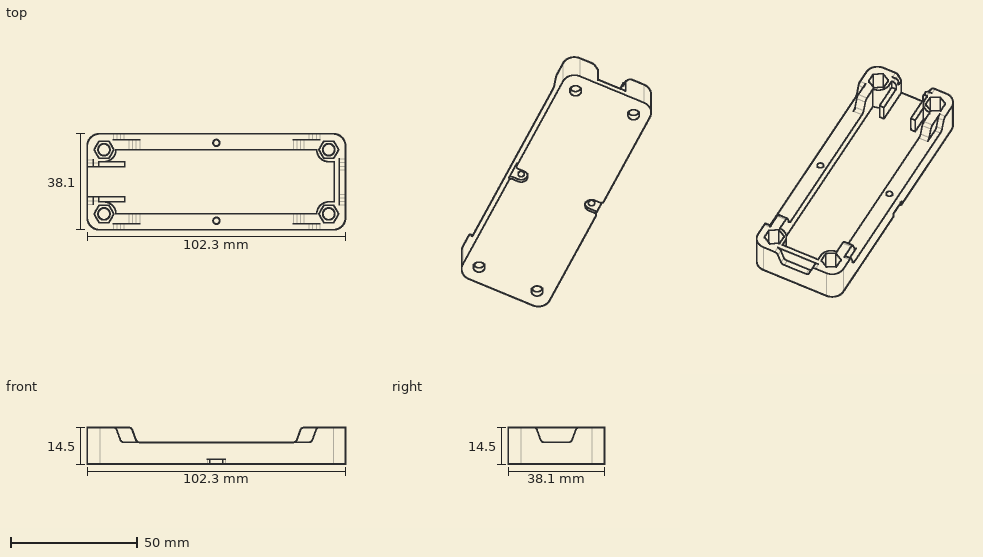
import math

import cadquery as cq

LENGTH = 102.3
WIDTH = 38.1
HEIGHT = 14.5
CORNER_RADIUS = 5.0

FLOOR_THICKNESS = 3.4
POCKET_LENGTH = 93.2
POCKET_WIDTH = 25.4
SCREW_SPACING_X = 88.9
SCREW_SPACING_Y = 25.4
SCREW_HOLE_DIAMETER = 4.6
BOSS_RADIUS = 4.75
HEX_SIDES = 6
HEX_ACROSS_FLATS = 6.8
HEX_FLOOR = FLOOR_THICKNESS

RIM_STEP_WIDTH = 2.5
NOTCH_RADIUS = 1.5

NOTCH_DEPTH = 5.85
NOTCH_ANGLE = 70.0
SIDE_NOTCH_INNER_HALF = 32.5
SIDE_NOTCH_OUTER_HALF = 38.7
END_NOTCH_HALF = 6.95

OPENING_WIDTH = 12.0
FLARE_DEPTH = 4.45
FLARE_ANGLE = 60.0
FLARE_HALF = 6.66
RAIL_LENGTH = 10.4
RAIL_TOP = 10.6

PIN_SPACING = 30.8
PIN_HOLE_DIAMETER = 2.5
RELIEF_WIDTH = 5.2
RELIEF_HEIGHT = 1.85
RELIEF_MOUTH_RADIUS = 1.0

END_X = LENGTH / 2
SIDE_Y = WIDTH / 2
POCKET_END_X = POCKET_LENGTH / 2
BOSS_FACE_Y = SCREW_SPACING_Y / 2 - BOSS_RADIUS
POCKET_DEPTH = HEIGHT - FLOOR_THICKNESS
SCREW_POINTS = [
    (sx * SCREW_SPACING_X / 2, sy * SCREW_SPACING_Y / 2) for sx in (-1, 1) for sy in (-1, 1)
]


def box_between(x_range, y_range, z_range):
    """Axis-aligned box given its limits, in either order, along each axis."""
    sizes = [abs(high - low) for low, high in (x_range, y_range, z_range)]
    corner = [min(limits) for limits in (x_range, y_range, z_range)]
    return cq.Workplane("XY").box(*sizes, centered=False).translate(tuple(corner))


def notch_cutter(plane, half_width, depth, angle, length):
    """Symmetric notch below the top face: sloped sides, rounded at the rim and at the bottom.

    The profile is swept along both directions of the plane normal, to a total of length.
    """
    slope = math.radians(angle)
    side_run = depth / (2 * math.tan(slope)) + NOTCH_RADIUS * math.tan(slope / 2)
    arc_run = NOTCH_RADIUS * math.sin(slope)
    arc_drop = NOTCH_RADIUS * (1 - math.cos(slope))
    bottom = HEIGHT - depth
    foot = half_width - side_run
    rim = half_width + side_run
    half = (
        cq.Workplane(plane)
        .moveTo(0, bottom)
        .lineTo(foot, bottom)
        .tangentArcPoint((foot + arc_run, bottom + arc_drop), relative=False)
        .lineTo(rim - arc_run, HEIGHT - arc_drop)
        .tangentArcPoint((rim, HEIGHT), relative=False)
        .lineTo(0, HEIGHT)
        .close()
        .extrude(length / 2, both=True)
    )
    mirror_plane = "YZ" if plane == "XZ" else "XZ"
    return half.union(half.mirror(mirror_plane))


def hollow_block():
    """Rounded block with the pocket, leaving a boss in each pocket corner."""
    block = cq.Workplane("XY").box(LENGTH, WIDTH, HEIGHT, centered=(True, True, False))
    block = block.edges("|Z").fillet(CORNER_RADIUS)
    pocket = (
        cq.Workplane("XY", origin=(0, 0, FLOOR_THICKNESS))
        .rect(POCKET_LENGTH, POCKET_WIDTH)
        .extrude(POCKET_DEPTH)
    )
    bosses = (
        cq.Workplane("XY", origin=(0, 0, FLOOR_THICKNESS))
        .pushPoints(SCREW_POINTS)
        .circle(BOSS_RADIUS)
        .extrude(POCKET_DEPTH)
    )
    pocket = pocket.cut(bosses)
    for x, y in SCREW_POINTS:
        web = box_between(
            (x, math.copysign(POCKET_END_X, x)),
            (y, math.copysign(BOSS_FACE_Y, y)),
            (FLOOR_THICKNESS, HEIGHT),
        )
        pocket = pocket.cut(web)
    return block.cut(pocket)


def cut_screw_holes(body):
    """Through holes with hexagonal nut recesses from the top."""
    holes = cq.Workplane("XY").pushPoints(SCREW_POINTS).circle(SCREW_HOLE_DIAMETER / 2).extrude(HEIGHT)
    across_corners = HEX_ACROSS_FLATS / math.cos(math.pi / HEX_SIDES)
    hexes = (
        cq.Workplane("XY", origin=(0, 0, HEX_FLOOR))
        .pushPoints(SCREW_POINTS)
        .polygon(HEX_SIDES, across_corners)
        .extrude(HEIGHT - HEX_FLOOR)
    )
    return body.cut(holes).cut(hexes)


def cut_side_notches(body):
    """Lower the middle of both long walls, the outer strip over a longer stretch."""
    inner_span = WIDTH - 2 * RIM_STEP_WIDTH
    inner = notch_cutter("XZ", SIDE_NOTCH_INNER_HALF, NOTCH_DEPTH, NOTCH_ANGLE, inner_span)
    body = body.cut(inner)
    outer = notch_cutter("XZ", SIDE_NOTCH_OUTER_HALF, NOTCH_DEPTH, NOTCH_ANGLE, RIM_STEP_WIDTH)
    for side in (-1, 1):
        body = body.cut(outer.translate((0, side * (SIDE_Y - RIM_STEP_WIDTH / 2), 0)))
    return body


def cut_end_notch(body):
    """Notch the outer strip of the +X end wall."""
    notch = notch_cutter("YZ", END_NOTCH_HALF, NOTCH_DEPTH, NOTCH_ANGLE, RIM_STEP_WIDTH)
    return body.cut(notch.translate((END_X - RIM_STEP_WIDTH / 2, 0, 0)))


def cut_opening(body):
    """Open the -X end wall down to the floor and ease the upper edges of the opening."""
    half = OPENING_WIDTH / 2
    step_x = -END_X + RIM_STEP_WIDTH
    body = body.cut(box_between((-END_X, -POCKET_END_X), (-half, half), (FLOOR_THICKNESS, HEIGHT)))
    flare = notch_cutter("YZ", FLARE_HALF, FLARE_DEPTH, FLARE_ANGLE, RIM_STEP_WIDTH)
    body = body.cut(flare.translate((step_x - RIM_STEP_WIDTH / 2, 0, 0)))
    rounding = (
        cq.Workplane("YZ", origin=(step_x, 0, 0))
        .moveTo(half, HEIGHT)
        .lineTo(half, HEIGHT - NOTCH_RADIUS)
        .radiusArc((half + NOTCH_RADIUS, HEIGHT), NOTCH_RADIUS)
        .close()
        .extrude(-POCKET_END_X - step_x)
    )
    return body.cut(rounding).cut(rounding.mirror("XZ"))


def add_rails(body):
    """Guide rails that continue the sides of the opening into the pocket."""
    for side in (-1, 1):
        rail = box_between(
            (-POCKET_END_X, -POCKET_END_X + RAIL_LENGTH),
            (side * OPENING_WIDTH / 2, side * BOSS_FACE_Y),
            (FLOOR_THICKNESS, RAIL_TOP),
        )
        body = body.union(rail)
    return body


def cut_pin_holes(body):
    """Pin holes through the long walls, each above a round-ended slot open to the side face."""
    pin_y = PIN_SPACING / 2
    half = RELIEF_WIDTH / 2
    mouth_half = half + RELIEF_MOUTH_RADIUS
    mouth_start_y = SIDE_Y - RELIEF_MOUTH_RADIUS
    pin_hole = cq.Workplane("XY").center(0, pin_y).circle(PIN_HOLE_DIAMETER / 2).extrude(HEIGHT)
    relief = (
        cq.Workplane("XY")
        .moveTo(-mouth_half, SIDE_Y)
        .radiusArc((-half, mouth_start_y), RELIEF_MOUTH_RADIUS)
        .lineTo(-half, pin_y)
        .threePointArc((0, pin_y - half), (half, pin_y))
        .lineTo(half, mouth_start_y)
        .radiusArc((mouth_half, SIDE_Y), RELIEF_MOUTH_RADIUS)
        .close()
        .extrude(RELIEF_HEIGHT)
    )
    cutter = pin_hole.union(relief)
    return body.cut(cutter).cut(cutter.mirror("XZ"))


part = hollow_block()
part = cut_screw_holes(part)
part = cut_side_notches(part)
part = cut_end_notch(part)
part = cut_opening(part)
part = add_rails(part)
result = cut_pin_holes(part)